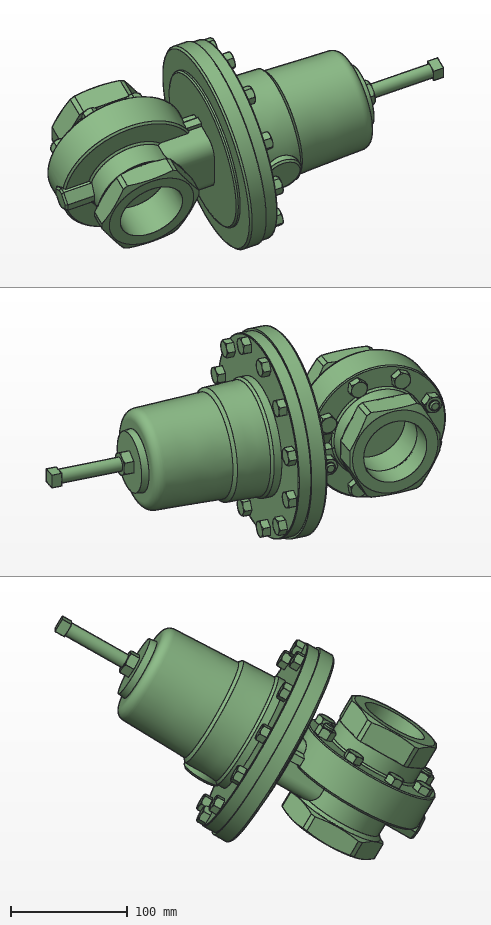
import cadquery as cq
import math


total_length = 358.0
plug_end_y = -65.5
rod_end_y = plug_end_y + total_length

flange_diameter = 184.3
flange_bottom_y = 71.5
flange_split_y = 86.5
flange_top_y = 98.0
cover_diameter = 180.5
cover_chamfer = 0.7
flange_edge_chamfer = 1.8
base_plate_diameter = 142.5
base_plate_y = 68.5
base_plate_chamfer = 1.5

bonnet_foot_y = 105.2
bonnet_foot_diameter = 106.3
lower_bottom_y = 107.7
lower_bottom_diameter = 102.7
lower_top_y = 138.0
lower_top_diameter = 100.5
upper_bottom_y = 141.0
upper_bottom_diameter = 94.0
upper_top_y = 202.5
upper_top_diameter = 90.0
crown_y = 211.0
shoulder_radius = crown_y - upper_top_y
collar_top_y = 217.5
collar_diameter = 54.5
collar_root_diameter = 56.2

head_bevel = 1.0
bolt_engagement = 1.8

rod_diameter = 12.5
rod_square_length = 9.3
lock_nut_flats = 19.5
lock_nut_height = 9.0

port_y = 119.0
port_diameter = 35.8
port_face_x = 54.8
port_chamfer = 1.8

cover_bolt_count = 12
cover_bolt_circle = 163.2
cover_bolt_flats = 14.0
cover_bolt_height = 7.5
cover_bolt_twist = 15.0

inlet_face_x = -71.0
inlet_hex_end_x = -49.0
body_flange_left_x = -32.2
body_flange_right_x = 0.5
outlet_hex_start_x = 25.5
outlet_face_x = 44.7
body_flange_diameter = 126.7
body_flange_chamfer_left = 1.0
body_flange_chamfer_right = 1.8
inlet_collar_diameter = 83.0
outlet_neck_diameter = 77.3
outlet_flare_length = 3.2
outlet_flare_diameter = 83.7
root_chamfer = 1.8

hex_half_flats = 41.5
hex_corner_inner_y = 21.5
hex_corner_outer_y = 25.5
hex_corner_z = 39.0
inlet_side_y = 42.0
inlet_side_half_z = 8.5
outlet_side_y = 45.8
outlet_side_half_z = 3.0
hex_face_diameter = 79.5
hex_bevel_length = 3.2
hex_bevel_outer_radius = 48.5
bore_diameter = 58.7
chamber_diameter = 61.0
chamber_end_x = -20.0
outlet_bore_end_x = 10.7

body_bolt_count = 8
body_bolt_circle = 105.2
body_bolt_flats = 14.5
body_bolt_height = 7.0
stud_indices = (3, 7)
stud_nut_height = 8.5
stud_diameter = 9.5
stud_length = 11.8
stud_chamfer = 1.5

pocket_outer_y = 52.0
pocket_inner_y = 41.0
pocket_width = 15.0
pocket_depth = 10.7

neck_left_x = -21.0
neck_right_x = 24.5
neck_half_height = 29.0
neck_left_round = 8.2
neck_right_round = 13.2
rib_half_height = 33.0
rib_foot_x = -12.0
rib_left_x = -9.5
rib_right_x = -2.0

plug_half_width = 11.5
plug_half_height = 10.7
plug_side_half_height = 3.5
plug_top_half_width = 3.0
plug_chamfer = 1.8
plug_root_y = -32.2


def hex_head(plane, flats, height):
    """Hexagon head with corners at plus and minus local X and a bevel round its outer end."""
    corners = flats / math.cos(math.pi / 6)
    prism = cq.Workplane(plane).polygon(6, corners).extrude(height)
    envelope = cq.Workplane(plane).circle(corners / 2).extrude(height)
    envelope = envelope.faces(cq.selectors.DirectionMinMaxSelector(plane.zDir)).chamfer(head_bevel)
    return prism.intersect(envelope)


def mirrored_outline(quarter):
    """Closed outline from its first-quadrant corners, listed counter-clockwise."""
    upper = quarter + [(-u, v) for u, v in reversed(quarter)]
    lower = [(-u, -v) for u, v in upper]
    return upper + lower


def plane_along_y(x, y, z, x_dir=(1, 0, 0)):
    return cq.Plane(origin=(x, y, z), xDir=x_dir, normal=(0, 1, 0))


def cylinder_along_x(diameter, start_x, end_x):
    return cq.Workplane("YZ", origin=(start_x, 0, 0)).circle(diameter / 2).extrude(end_x - start_x)


def make_actuator():
    """Flange pair, bonnet, collar and base plate as one body of revolution about Y."""
    arc_mid = shoulder_radius * (1 - math.sqrt(0.5))
    upper_radius = upper_top_diameter / 2
    base_radius = base_plate_diameter / 2
    flange_radius = flange_diameter / 2
    cover_radius = cover_diameter / 2
    return (
        cq.Workplane("XY")
        .moveTo(0, base_plate_y)
        .lineTo(base_radius - base_plate_chamfer, base_plate_y)
        .lineTo(base_radius, base_plate_y + base_plate_chamfer)
        .lineTo(base_radius, flange_bottom_y)
        .lineTo(flange_radius - flange_edge_chamfer, flange_bottom_y)
        .lineTo(flange_radius, flange_bottom_y + flange_edge_chamfer)
        .lineTo(flange_radius, flange_split_y)
        .lineTo(cover_radius, flange_split_y)
        .lineTo(cover_radius, flange_top_y - cover_chamfer)
        .lineTo(cover_radius - cover_chamfer, flange_top_y)
        .lineTo(bonnet_foot_diameter / 2, flange_top_y)
        .lineTo(bonnet_foot_diameter / 2, bonnet_foot_y)
        .lineTo(lower_bottom_diameter / 2, lower_bottom_y)
        .lineTo(lower_top_diameter / 2, lower_top_y)
        .lineTo(upper_bottom_diameter / 2, upper_bottom_y)
        .lineTo(upper_radius, upper_top_y)
        .threePointArc(
            (upper_radius - arc_mid, crown_y - arc_mid),
            (upper_radius - shoulder_radius, crown_y),
        )
        .lineTo(collar_root_diameter / 2, crown_y)
        .lineTo(collar_diameter / 2, collar_top_y)
        .lineTo(0, collar_top_y)
        .close()
        .revolve(360, (0, 0, 0), (0, 1, 0))
    )


def make_rod():
    """Adjusting rod with a square end and a lock nut at the collar."""
    square_start_y = rod_end_y - rod_square_length
    rod = (
        cq.Workplane(plane_along_y(0, collar_top_y, 0))
        .circle(rod_diameter / 2)
        .extrude(square_start_y - collar_top_y)
    )
    square = (
        cq.Workplane(plane_along_y(0, square_start_y, 0))
        .rect(rod_diameter, rod_diameter)
        .extrude(rod_square_length)
    )
    nut_plane = plane_along_y(0, collar_top_y, 0, x_dir=(0, 0, 1))
    return rod.union(square).union(hex_head(nut_plane, lock_nut_flats, lock_nut_height))


def make_port():
    """Round chamfered port boss on the +X side of the bonnet."""
    return (
        cq.Workplane("YZ", origin=(0, port_y, 0))
        .circle(port_diameter / 2)
        .extrude(port_face_x)
        .faces(">X")
        .chamfer(port_chamfer)
    )


def make_cover_bolts():
    """Ring of hexagon heads on the cover, each turned by the same twist from the radial direction."""
    twist = math.radians(cover_bolt_twist)
    bolts = cq.Workplane("XY")
    for index in range(cover_bolt_count):
        angle = 2 * math.pi * (index + 0.5) / cover_bolt_count
        head_plane = plane_along_y(
            math.cos(angle) * cover_bolt_circle / 2,
            flange_top_y - bolt_engagement,
            math.sin(angle) * cover_bolt_circle / 2,
            x_dir=(math.cos(angle + twist), 0, math.sin(angle + twist)),
        )
        head = hex_head(head_plane, cover_bolt_flats, cover_bolt_height + bolt_engagement)
        bolts = bolts.union(head)
    return bolts


def make_pipe_hex(start_x, end_x, side_y, side_half_z, bevel_start, bevel_end):
    """Hexagon with flattened corners; a revolved envelope bevels the chosen ends."""
    quarter = [
        (side_y, side_half_z),
        (hex_corner_outer_y, hex_corner_z),
        (hex_corner_inner_y, hex_half_flats),
    ]
    prism = cq.Workplane("YZ", origin=(start_x, 0, 0)).polyline(mirrored_outline(quarter)).close()
    prism = prism.extrude(end_x - start_x)

    face_radius = hex_face_diameter / 2
    envelope = cq.Workplane("XY").moveTo(start_x, 0)
    if bevel_start:
        envelope = envelope.lineTo(start_x, face_radius)
        envelope = envelope.lineTo(start_x + hex_bevel_length, hex_bevel_outer_radius)
    else:
        envelope = envelope.lineTo(start_x, hex_bevel_outer_radius)
    if bevel_end:
        envelope = envelope.lineTo(end_x - hex_bevel_length, hex_bevel_outer_radius)
        envelope = envelope.lineTo(end_x, face_radius)
    else:
        envelope = envelope.lineTo(end_x, hex_bevel_outer_radius)
    envelope = envelope.lineTo(end_x, 0).close().revolve(360, (0, 0, 0), (1, 0, 0))
    return prism.intersect(envelope)


def make_valve_body():
    """Inlet collar, bolted flange and flared outlet neck, with a hexagon at each end."""
    collar_radius = inlet_collar_diameter / 2
    flange_radius = body_flange_diameter / 2
    neck_radius = outlet_neck_diameter / 2
    core = (
        cq.Workplane("XY")
        .moveTo(inlet_hex_end_x, 0)
        .lineTo(inlet_hex_end_x, collar_radius)
        .lineTo(body_flange_left_x - root_chamfer, collar_radius)
        .lineTo(body_flange_left_x, collar_radius + root_chamfer)
        .lineTo(body_flange_left_x, flange_radius - body_flange_chamfer_left)
        .lineTo(body_flange_left_x + body_flange_chamfer_left, flange_radius)
        .lineTo(body_flange_right_x - body_flange_chamfer_right, flange_radius)
        .lineTo(body_flange_right_x, flange_radius - body_flange_chamfer_right)
        .lineTo(body_flange_right_x, neck_radius + root_chamfer)
        .lineTo(body_flange_right_x + root_chamfer, neck_radius)
        .lineTo(outlet_hex_start_x - outlet_flare_length, neck_radius)
        .lineTo(outlet_hex_start_x, outlet_flare_diameter / 2)
        .lineTo(outlet_hex_start_x, 0)
        .close()
        .revolve(360, (0, 0, 0), (1, 0, 0))
    )
    inlet_hex = make_pipe_hex(inlet_face_x, inlet_hex_end_x, inlet_side_y, inlet_side_half_z, True, False)
    outlet_hex = make_pipe_hex(
        outlet_hex_start_x, outlet_face_x, outlet_side_y, outlet_side_half_z, True, True
    )
    return core.union(inlet_hex).union(outlet_hex)


def make_body_bolts():
    """Bolt heads on the inlet side of the body flange; two places carry studs with nuts."""
    start_x = body_flange_left_x + bolt_engagement
    bolts = cq.Workplane("XY")
    for index in range(body_bolt_count):
        angle = 2 * math.pi * (index + 0.5) / body_bolt_count
        along = math.cos(angle)
        up = math.sin(angle)
        center = (start_x, along * body_bolt_circle / 2, up * body_bolt_circle / 2)
        plane = cq.Plane(origin=center, xDir=(0, -up, along), normal=(-1, 0, 0))
        is_stud = index in stud_indices
        height = stud_nut_height if is_stud else body_bolt_height
        bolts = bolts.union(hex_head(plane, body_bolt_flats, height + bolt_engagement))
        if is_stud:
            stud = cq.Workplane(plane).circle(stud_diameter / 2).extrude(stud_length + bolt_engagement)
            bolts = bolts.union(stud.faces("<X").chamfer(stud_chamfer))
    return bolts


def make_neck():
    """Rounded block with a raised rib, running from the flow axis up to the base plate."""
    width = neck_right_x - neck_left_x
    block = (
        cq.Workplane(plane_along_y((neck_left_x + neck_right_x) / 2, 0, 0))
        .rect(width, 2 * neck_half_height)
        .extrude(flange_bottom_y)
    )
    block = block.edges("|Y and <X").fillet(neck_left_round)
    block = block.edges("|Y and >X").fillet(neck_right_round)
    rib = (
        cq.Workplane(plane_along_y(0, 0, 0))
        .moveTo(rib_foot_x, neck_half_height)
        .lineTo(rib_left_x, rib_half_height)
        .lineTo(rib_right_x, rib_half_height)
        .lineTo(rib_right_x, -rib_half_height)
        .lineTo(rib_left_x, -rib_half_height)
        .lineTo(rib_foot_x, -neck_half_height)
        .close()
        .extrude(flange_bottom_y)
    )
    return block.union(rib)


def make_plug():
    """Eight-sided drain plug pointing to -Y, with wide slanted flats and a bevelled end."""
    quarter = [(plug_half_width, plug_side_half_height), (plug_top_half_width, plug_half_height)]
    plug = cq.Workplane("XZ", origin=(0, plug_root_y, 0)).polyline(mirrored_outline(quarter)).close()
    plug = plug.extrude(plug_root_y - plug_end_y)
    return plug.faces("<Y").chamfer(plug_chamfer)


def make_bores():
    """Blind pipe bores; the inlet opens into a slightly wider chamber."""
    inlet = cylinder_along_x(bore_diameter, inlet_face_x, inlet_hex_end_x)
    chamber = cylinder_along_x(chamber_diameter, inlet_hex_end_x, chamber_end_x)
    outlet = cylinder_along_x(bore_diameter, outlet_bore_end_x, outlet_face_x)
    return inlet.union(chamber).union(outlet)


def make_pocket():
    """Wedge cut into the flange face, with a floor that gets deeper toward -Z."""
    half_width = pocket_width / 2
    return (
        cq.Workplane("XZ", origin=(0, pocket_outer_y, 0))
        .moveTo(body_flange_left_x, half_width)
        .lineTo(body_flange_left_x, -half_width)
        .lineTo(body_flange_left_x + pocket_depth, -half_width)
        .close()
        .extrude(pocket_outer_y - pocket_inner_y)
    )


actuator = make_actuator().union(make_rod()).union(make_port()).union(make_cover_bolts())
valve = make_valve_body().union(make_neck()).union(make_plug()).union(make_body_bolts())
result = actuator.union(valve).cut(make_bores()).cut(make_pocket())